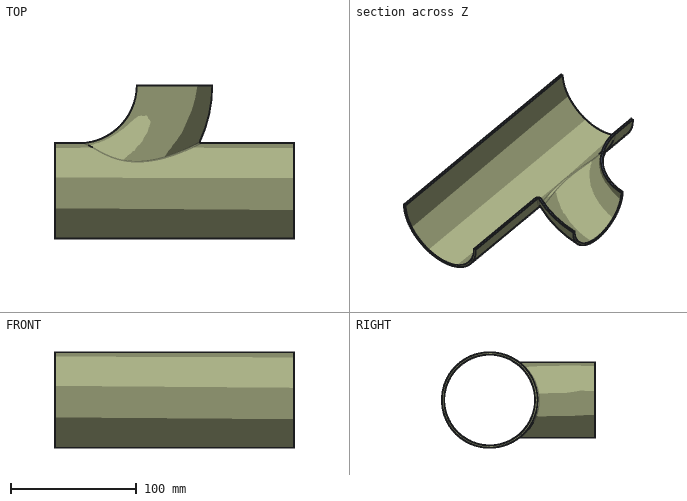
import cadquery as cq

wall = 2.0

pipe_length = 190.0
pipe_radius = 76.2 / 2

branch_radius = 60.2 / 2
branch_x = pipe_length / 2
bend_radius = 76.0
bend_angle = 90.0
overall_width = 122.0
branch_reach = overall_width - pipe_radius

outer_joint_fillet = 0.8
inner_joint_fillet = outer_joint_fillet + wall


def straight_run(radius):
    """Solid cylinder over the full length of the main pipe."""
    return cq.Workplane("YZ").circle(radius).extrude(pipe_length)


def elbow(radius):
    """Solid quarter bend from the branch mouth back into the pipe."""
    mouth = cq.Workplane("XZ", origin=(branch_x, branch_reach, 0)).circle(radius)
    return mouth.revolve(bend_angle, (-bend_radius, 1.9, 0), (-bend_radius, 0, 0))


def solid_tee(run_radius, elbow_radius, joint_fillet):
    """Straight run and elbow merged, with the curve where they meet filleted."""
    merged = straight_run(run_radius).union(elbow(elbow_radius))
    joint_curve = merged.edges("%BSPLINE")
    return joint_curve.fillet(joint_fillet)


outer_body = solid_tee(pipe_radius, branch_radius, outer_joint_fillet)
flow_passage = solid_tee(pipe_radius - wall, branch_radius - wall, inner_joint_fillet)
result = outer_body.cut(flow_passage).solids()